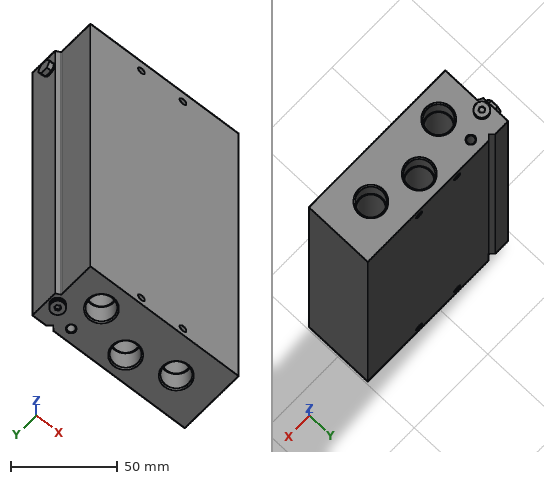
import cadquery as cq
import math

total_height = 220.5
block_width = 95.5
block_depth = 38.5
plug_height = 2.9
block_height = total_height - 2 * plug_height
block_top = block_height / 2

relief_width = 2.6
bevel_start = 16.3
relief_start = 17.6
relief_corner_radius = 0.7

groove_x = 11.0
groove_width = 4.5
groove_depth = groove_width / 2

bore_diameter = 14.1
port_diameter = 15.0
port_depth = 13.2
bore_mouth_diameter = 16.5
bore_centers = [(22.0, -24.3), (47.6, -12.3), (73.2, -19.5)]
pilot_diameter = 4.2
pilot_mouth_diameter = 5.0
pilot_center = (18.7, -6.5)

mount_diameter = 4.2
mount_x = (34.6, 60.6)
mount_top_inset = 8.2
mount_bottom_inset = 5.7

plug_center = (5.0, -12.3)
plug_diameter = 8.0
plug_groove_diameter = 7.7
plug_groove_start = 0.7
plug_groove_width = 0.7
socket_flats = 2.9
socket_depth = 1.3

bolt_height = 3.5
bolt_flats = 7.3
bolt_collar_diameter = 7.3
bolt_collar_height = 0.7
bolt_y = plug_center[1]
bolt_top_inset = 12.8


def corner_diameter(across_flats):
    """Diameter of the circle through the corners of a regular hexagon."""
    return across_flats / math.cos(math.pi / 6)


def countersunk_passage(center, diameter, mouth_diameter):
    """Full-height round cutter that widens at 45 degrees at both ends."""
    radius = diameter / 2
    mouth_radius = mouth_diameter / 2
    mouth_z = block_top - (mouth_radius - radius)
    profile = [
        (0, -block_top),
        (mouth_radius, -block_top),
        (radius, -mouth_z),
        (radius, mouth_z),
        (mouth_radius, block_top),
        (0, block_top),
    ]
    cutter = cq.Workplane("XZ").polyline(profile).close().revolve(360, (0, 0), (0, 1))
    return cutter.translate((*center, 0))


def stepped_bore(center):
    """Full-height round cutter with a wider countersunk port at both ends."""
    port_end = block_top - port_depth
    cutter = countersunk_passage(center, port_diameter, bore_mouth_diameter)
    middle = (
        cq.Workplane("XY").workplane(offset=-port_end)
        .center(*center).circle(port_diameter / 2).circle(bore_diameter / 2).extrude(2 * port_end)
    )
    return cutter.cut(middle)


def make_block():
    outline = [
        (0, 0),
        (groove_x - groove_width / 2, 0),
        (groove_x, -groove_depth),
        (groove_x + groove_width / 2, 0),
        (block_width, 0),
        (block_width, -block_depth),
        (relief_width, -block_depth),
        (relief_width, -relief_start),
        (0, -bevel_start),
    ]
    block = cq.Workplane("XY").workplane(offset=-block_top).polyline(outline).close().extrude(block_height)
    relief_corner = cq.NearestToPointSelector((relief_width, -relief_start, 0))
    block = block.edges(relief_corner).fillet(relief_corner_radius)

    for center in bore_centers:
        block = block.cut(stepped_bore(center))
    block = block.cut(countersunk_passage(pilot_center, pilot_diameter, pilot_mouth_diameter))

    mount_points = [
        (x, z) for x in mount_x for z in (block_top - mount_top_inset, mount_bottom_inset - block_top)
    ]
    mounts = cq.Workplane("XZ").pushPoints(mount_points).circle(mount_diameter / 2).extrude(block_depth)
    return block.cut(mounts)


def make_end_plug(end):
    """Plug resting on the top (end = 1) or the bottom (end = -1) of the block."""
    head = cq.Workplane("XY").circle(plug_diameter / 2).extrude(plug_height)
    groove = (
        cq.Workplane("XY").workplane(offset=plug_groove_start)
        .circle(plug_diameter / 2).circle(plug_groove_diameter / 2).extrude(plug_groove_width)
    )
    socket = (
        cq.Workplane("XY").workplane(offset=plug_height)
        .transformed(rotate=(0, 0, 90))
        .polygon(6, corner_diameter(socket_flats)).extrude(-socket_depth)
    )
    plug = head.cut(groove).cut(socket)
    if end < 0:
        plug = plug.rotate((0, 0, 0), (1, 0, 0), 180)
    return plug.translate((*plug_center, end * block_top))


def make_side_bolt():
    """Bolt head standing on the left side, with two flats facing up and down."""
    collar = cq.Workplane("YZ").circle(bolt_collar_diameter / 2).extrude(-bolt_collar_height)
    head = (
        cq.Workplane("YZ").workplane(offset=-bolt_collar_height)
        .polygon(6, corner_diameter(bolt_flats)).extrude(bolt_collar_height - bolt_height)
    )
    return collar.union(head).translate((0, bolt_y, block_top - bolt_top_inset))


block = make_block()
end_plugs = [make_end_plug(end) for end in (1, -1)]
side_bolt = make_side_bolt()

result = cq.Compound.makeCompound([block.val(), *[plug.val() for plug in end_plugs], side_bolt.val()])